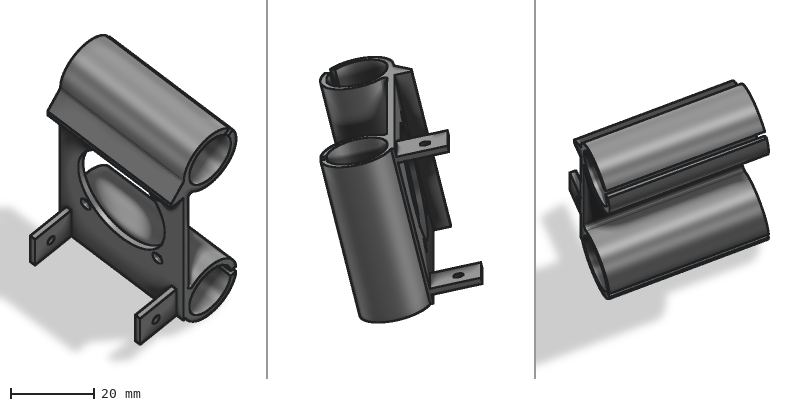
import cadquery as cq
import math

length = 41.4
height = 68.2
tube_diameter = 18.2
tube_radius = tube_diameter / 2
tube_spacing = height - tube_diameter
upper_z = tube_spacing / 2
lower_z = -upper_z

bore_wide_diameter = 15.15
bore_narrow_diameter = 14.4
slot_width = 2.0
upper_slot_angle = 37.0

plate_front_y = -9.3
plate_thickness = 1.8
plate_back_y = plate_front_y + plate_thickness
plate_bottom_z = lower_z - 3.4
web_fillet = 0.95

lip_front_y = -13.5
lip_bottom_z = upper_z - 6.5
lip_edge_height = 1.4
lip_slope_angle = 48.0
lip_slope = math.tan(math.radians(lip_slope_angle))
lip_fillet = 0.7

opening_diameter = 29.0
screw_diameter = 3.2
screw_pitch = 24.0

tab_front_y = tube_radius - 30.95
tab_height = 9.95
tab_thickness = 1.65
tab_outer_x = 18.4
tab_hole_diameter = 2.4
tab_hole_y = -16.3
tab_hole_z = lower_z + 1.2


def extrude_profile(points):
    """Extrude a closed (Y, Z) outline over the full length."""
    return cq.Workplane("YZ").polyline(points).close().extrude(length / 2, both=True)


def tube_body(z):
    return cq.Workplane("YZ").center(0, z).circle(tube_radius).extrude(length / 2, both=True)


def tapered_bore(z):
    return (
        cq.Workplane("YZ", origin=(-length / 2, 0, z))
        .circle(bore_wide_diameter / 2)
        .workplane(offset=length)
        .circle(bore_narrow_diameter / 2)
        .loft()
    )


def tube_slot(z, angle):
    """Radial slot through the tube wall, tilted up from +Y by the given angle."""
    return (
        cq.Workplane("XY")
        .box(length, tube_diameter, slot_width, centered=(True, False, True))
        .rotate((0, 0, 0), (1, 0, 0), angle)
        .translate((0, 0, z))
    )


def plate():
    return extrude_profile([
        (plate_back_y, plate_bottom_z),
        (plate_front_y, plate_bottom_z),
        (plate_front_y, upper_z - tube_radius / 2),
        (plate_back_y, upper_z - tube_radius / 2),
    ])


def lip():
    """Lip with a sloped upper face that runs into the upper tube."""
    edge_top_z = lip_bottom_z + lip_edge_height
    slope_top_z = edge_top_z + (plate_back_y - lip_front_y) * lip_slope
    return extrude_profile([
        (plate_back_y, lip_bottom_z),
        (lip_front_y, lip_bottom_z),
        (lip_front_y, edge_top_z),
        (plate_back_y, slope_top_z),
    ])


def edges_near(body, y, z):
    """Select the lengthwise edge passing closest to the given (Y, Z) position."""
    return body.edges("|X").edges(cq.selectors.NearestToPointSelector((0, y, z)))


def tabs():
    body = cq.Workplane("XY")
    for side in (-1, 1):
        tab = cq.Workplane("XY").box(
            tab_thickness, plate_front_y - tab_front_y, tab_height, centered=(True, False, False)
        )
        tab_x = side * (tab_outer_x - tab_thickness / 2)
        body = body.add(tab.translate((tab_x, tab_front_y, plate_bottom_z)))
    return body.combine()


def plate_openings():
    depth = 2 * plate_thickness
    sketch = cq.Workplane("XZ", origin=(0, plate_back_y + plate_thickness / 2, 0))
    opening = sketch.circle(opening_diameter / 2).extrude(depth)
    screws = sketch.rect(screw_pitch, screw_pitch, forConstruction=True).vertices()
    return opening.union(screws.circle(screw_diameter / 2).extrude(depth))


def tab_holes():
    return (
        cq.Workplane("YZ")
        .center(tab_hole_y, tab_hole_z)
        .circle(tab_hole_diameter / 2)
        .extrude(length / 2, both=True)
    )


result = tube_body(upper_z).union(tube_body(lower_z)).union(plate()).union(lip())

web_joint_drop = math.sqrt(tube_radius**2 - plate_back_y**2)
for joint_z in (upper_z - web_joint_drop, lower_z + web_joint_drop):
    result = edges_near(result, plate_back_y, joint_z).fillet(web_fillet)
lip_joint_z = lip_bottom_z + lip_edge_height + (-tube_radius - lip_front_y) * lip_slope
result = edges_near(result, -tube_radius, lip_joint_z).fillet(lip_fillet)

for axis_z, slot_angle in ((upper_z, upper_slot_angle), (lower_z, 0)):
    result = result.cut(tapered_bore(axis_z)).cut(tube_slot(axis_z, slot_angle))

result = result.union(tabs()).cut(plate_openings()).cut(tab_holes())